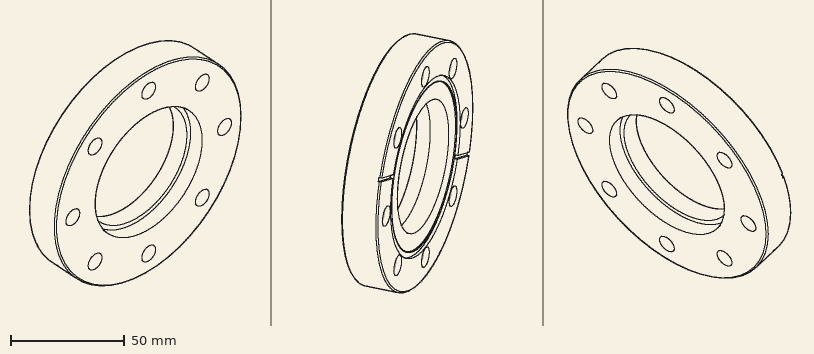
import cadquery as cq
import math

thickness = 17.27
outer_radius = 113.54 / 2
rim_chamfer = 0.7

bore_radius = 30.25
socket_radius = 32.5
socket_depth = 7.4

recess_radius = 41.2
knife_radius = 38.6
knife_land_width = 0.3
knife_depth = 0.55
knife_slope = 20.0
inner_floor_depth = 1.1

bolt_count = 8
bolt_circle_radius = 46.1
bolt_hole_radius = 4.2
bolt_mouth_radius = 4.6
bolt_mouth_depth = 2.5

groove_width = 1.7
groove_depth = 1.2
groove_tilt = 180 / bolt_count


def cylinder(radius, start, length):
    """Cylinder on the flange axis from X = start."""
    return cq.Workplane("YZ").workplane(offset=start).circle(radius).extrude(length)


def revolve_about_x(profile):
    """Solid of revolution about X from (x, radius) points."""
    return cq.Workplane("XY").polyline(profile).close().revolve(360, (0, 0), (1, 0))


def flange_ring():
    """Disc chamfered on both rims, with the stepped bore through it."""
    disc = cylinder(outer_radius, 0, thickness).edges().chamfer(rim_chamfer)
    bore = cylinder(bore_radius, 0, thickness)
    socket = cylinder(socket_radius, thickness - socket_depth, socket_depth)
    return disc.cut(bore).cut(socket)


def seal_recess():
    """Cutter that leaves the knife edge standing between its slope and the inner floor."""
    slope_width = recess_radius - knife_radius
    root_depth = knife_depth + slope_width * math.tan(math.radians(knife_slope))
    land_inner_radius = knife_radius - knife_land_width
    return revolve_about_x([
        (0, 0),
        (0, recess_radius),
        (root_depth, recess_radius),
        (knife_depth, knife_radius),
        (knife_depth, land_inner_radius),
        (inner_floor_depth, land_inner_radius),
        (inner_floor_depth, 0),
    ])


def bolt_hole(index):
    """Cutter for one bolt hole on the bolt circle."""
    hole = revolve_about_x([
        (0, 0),
        (0, bolt_mouth_radius),
        (bolt_mouth_depth, bolt_hole_radius),
        (thickness, bolt_hole_radius),
        (thickness, 0),
    ])
    hole = hole.translate((0, bolt_circle_radius, 0))
    return hole.rotate((0, 0, 0), (1, 0, 0), index * 360 / bolt_count)


def leak_grooves():
    """Cutter for the two grooves running from the recess wall out through the rim."""
    bar = cq.Workplane("XY").box(
        groove_depth, 2 * outer_radius, groove_width, centered=(False, True, True)
    )
    grooves = bar.cut(cylinder(recess_radius, 0, groove_depth))
    return grooves.rotate((0, 0, 0), (1, 0, 0), groove_tilt)


result = flange_ring().cut(seal_recess()).cut(leak_grooves())
for hole_index in range(bolt_count):
    result = result.cut(bolt_hole(hole_index))